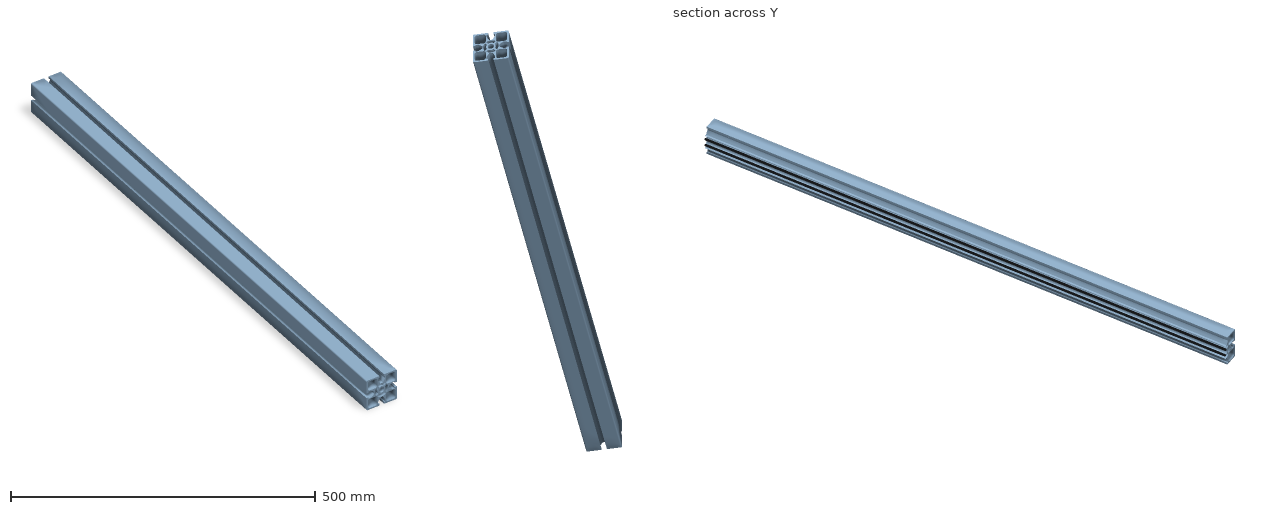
import cadquery as cq

length = 1000.0
side = 60.0
half_side = side / 2
outer_radius = 2.5

opening_width = 9.4
slot_width = 14.0
lip_depth = 4.0
slot_depth = 16.0
floor_fall = 0.2
chamfer_width = 4.5
chamfer_rise = 7.0

outer_wall = 2.8
slot_wall = 1.5
chamber_radius = 4.0

bore_diameter = 10.0
core_diameter = 16.0
gap_diameter = 26.0
web_thickness = 3.0

section_plane = cq.Workplane("YZ").workplane(offset=-length / 2)


def turned(tool, angle):
    """Turn a tool about the X axis by an angle in degrees."""
    return tool.rotate((0, 0, 0), (1, 0, 0), angle)


def bar(diameter):
    """Round bar along the whole extrusion axis."""
    return section_plane.circle(diameter / 2).extrude(length)


def t_slot():
    """T-slot in the top face, with sloped lower corners and a V floor."""
    lip_bottom = half_side - lip_depth
    floor_middle = half_side - slot_depth
    floor_edge = floor_middle + floor_fall
    opening_half = opening_width / 2
    slot_half = slot_width / 2
    right_side = [
        (opening_half, half_side),
        (opening_half, lip_bottom),
        (slot_half, lip_bottom),
        (slot_half, floor_edge + chamfer_rise),
        (slot_half - chamfer_width, floor_edge),
    ]
    left_side = [(-y, z) for y, z in reversed(right_side)]
    outline = right_side + [(0, floor_middle)] + left_side
    return section_plane.polyline(outline).close().extrude(length)


def corner_chamber():
    """Rounded square hollow in the +Y +Z corner."""
    inner_edge = slot_width / 2 + slot_wall
    outer_edge = half_side - outer_wall
    size = outer_edge - inner_edge
    centre = (inner_edge + outer_edge) / 2
    chamber = section_plane.center(centre, centre).rect(size, size).extrude(length)
    return chamber.edges("|X").fillet(chamber_radius)


def core_gaps():
    """Ring around the core, split into four gaps by the diagonal webs."""
    gaps = bar(gap_diameter).cut(bar(core_diameter))
    web = section_plane.rect(gap_diameter, web_thickness).extrude(length)
    for angle in (45, 135):
        gaps = gaps.cut(turned(web, angle))
    return gaps


profile = section_plane.rect(side, side).extrude(length).edges("|X").fillet(outer_radius)
for angle in (0, 90, 180, 270):
    profile = profile.cut(turned(t_slot(), angle))
    profile = profile.cut(turned(corner_chamber(), angle))

result = profile.cut(core_gaps()).cut(bar(bore_diameter))